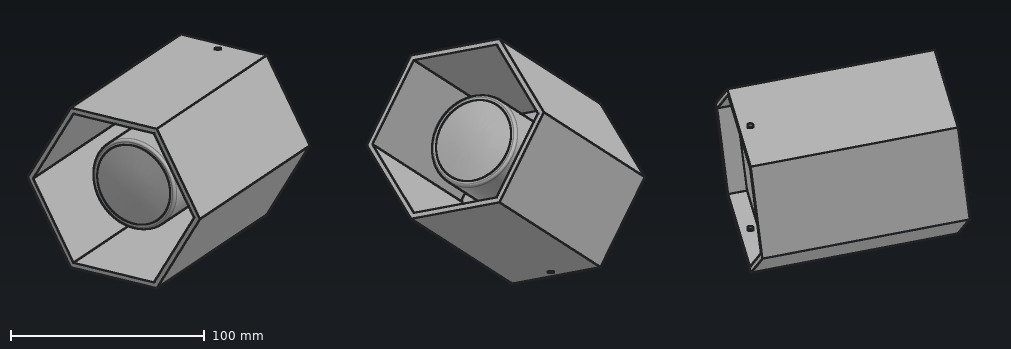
import cadquery as cq
import math

across_flats = 90.0
housing_length = 110.0
wall = 3.0
front_y = -housing_length / 2
back_y = housing_length / 2

cross_hole_diameter = 3.2
cross_hole_from_back = 6.0

plate_clearance = 0.3
plate_thickness = 4.0
plate_back_from_back = 10.0
plate_front_y = back_y - plate_back_from_back - plate_thickness

barrel_radius = 25.0
barrel_front_depth = 20.0
rim_fillet = 1.5
barrel_front_y = front_y + barrel_front_depth

lens_radius = 22.0
lens_edge_thickness = 3.0
lens_bulge = 2.0
lens_back_y = barrel_front_y + lens_edge_thickness


def hexagon_bar(flats, start_y, end_y):
    """Solid hexagonal bar along Y with flats facing +Z and -Z."""
    corner_diameter = flats / math.cos(math.pi / 6)
    return (
        cq.Workplane("XZ", origin=(0, start_y, 0))
        .polygon(6, corner_diameter)
        .extrude(start_y - end_y)
    )


def round_bar(radius, start_y, end_y):
    """Solid cylinder along Y."""
    return cq.Workplane("XZ", origin=(0, start_y, 0)).circle(radius).extrude(start_y - end_y)


def make_housing():
    tube = hexagon_bar(across_flats, front_y, back_y)
    tube = tube.cut(hexagon_bar(across_flats - 2 * wall, front_y, back_y))
    cross_hole = (
        cq.Workplane("XY", origin=(0, back_y - cross_hole_from_back, 0))
        .circle(cross_hole_diameter / 2)
        .extrude(across_flats / 2, both=True)
    )
    return tube.cut(cross_hole)


def make_plate():
    plate_flats = across_flats - 2 * (wall + plate_clearance)
    return hexagon_bar(plate_flats, plate_front_y, plate_front_y + plate_thickness)


def make_barrel():
    barrel = round_bar(barrel_radius, barrel_front_y, plate_front_y)
    barrel = barrel.faces("<Y").edges().fillet(rim_fillet)
    return barrel.cut(round_bar(lens_radius, barrel_front_y, lens_back_y))


def make_lens():
    """Disc with a shallow spherical dome on its front, turned about the Y axis."""
    dome_radius = (lens_radius**2 + lens_bulge**2) / (2 * lens_bulge)
    apex_y = barrel_front_y - lens_bulge
    half_angle = math.asin(lens_radius / dome_radius) / 2
    arc_middle = (
        dome_radius * math.sin(half_angle),
        apex_y + dome_radius * (1 - math.cos(half_angle)),
    )
    return (
        cq.Workplane("XY")
        .moveTo(0, lens_back_y)
        .lineTo(lens_radius, lens_back_y)
        .lineTo(lens_radius, barrel_front_y)
        .threePointArc(arc_middle, (0, apex_y))
        .close()
        .revolve(360, (0, 0, 0), (0, 1, 0))
    )


housing = make_housing()
plate = make_plate()
barrel = make_barrel()
lens = make_lens()

result = cq.Compound.makeCompound([housing.val(), plate.val(), barrel.val(), lens.val()])